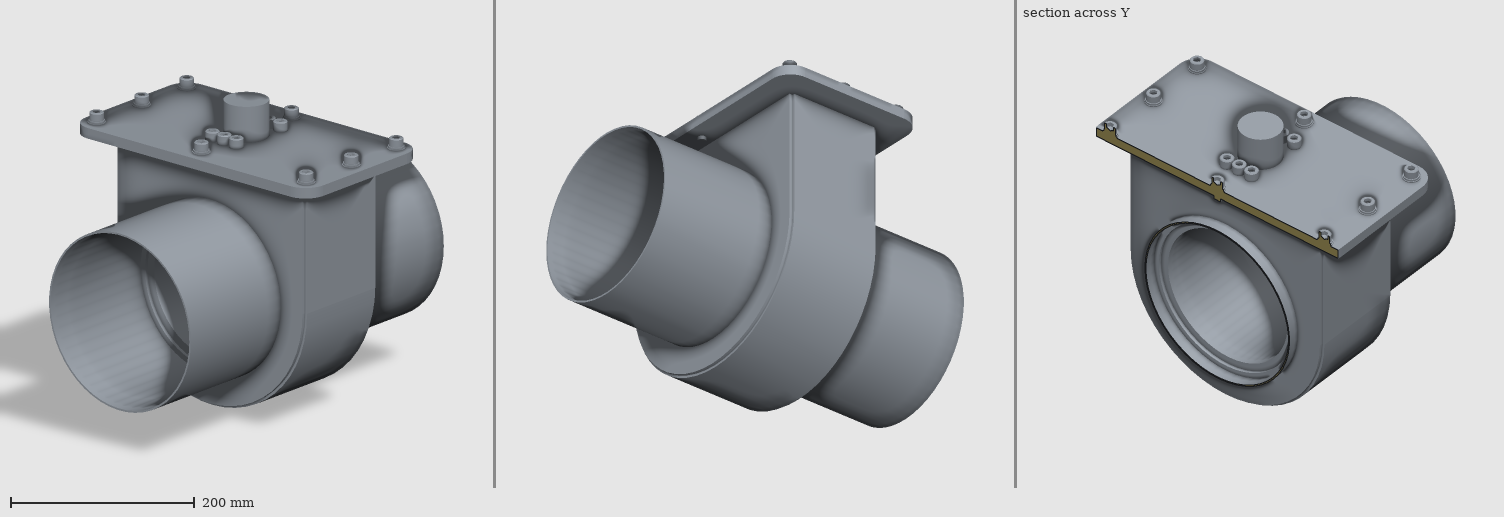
import cadquery as cq
import math

pipe_length = 420.0
pipe_outer_diameter = 204.0
pipe_inner_diameter = 200.0
seat_diameter = 187.0
bore_diameter = 168.0

casing_width = 121.0
side_plate_thickness = 4.0
rim_width = casing_width - 2 * side_plate_thickness
rim_radius = 136.0
rim_overhang = 3.0
side_plate_radius = rim_radius - rim_overhang

cover_length = 342.0
cover_width = 190.0
cover_thickness = 12.0
cover_corner_radius = 25.0
cover_bottom = 147.5
cover_top = cover_bottom + cover_thickness
shaft_diameter = 50.0
overall_height = 337.3
shaft_top = overall_height - rim_radius

head_diameter = 16.0
head_edge_chamfer = 1.0
socket_across_flats = 8.0
socket_depth = 5.0
socket_cone_depth = 2.0
thread_diameter = 10.0
thread_end_length = 4.0

plain_washer_diameter = 20.0
spring_washer_diameter = 18.0
plain_washer_thickness = 1.3
spring_washer_thickness = 2.0
cover_screw_height = 12.5
cover_screw_x = 150.8
cover_screw_y = 74.8

gland_washer_diameter = 15.0
gland_washer_thickness = 1.3
gland_screw_height = 11.5
gland_pitch = 17.2
gland_row_y = 36.5


def cylinder_along_y(diameter, length):
    """Cylinder about the pipe axis, centred on the origin."""
    return cq.Workplane("XZ").circle(diameter / 2).extrude(length / 2, both=True)


def end_recesses(diameter, gap):
    """Pair of coaxial cylinders running from both pipe ends inward, leaving the gap between them."""
    return cylinder_along_y(diameter, pipe_length).cut(cylinder_along_y(diameter, gap))


def casing_slab(radius, width):
    """Slab with a half-round bottom that reaches up to the cover plate."""
    return (
        cq.Workplane("XZ")
        .moveTo(-radius, cover_bottom)
        .lineTo(-radius, 0)
        .threePointArc((0, -radius), (radius, 0))
        .lineTo(radius, cover_bottom)
        .close()
        .extrude(width / 2, both=True)
    )


def upright_cylinder(diameter, bottom, height, x=0, y=0):
    return cq.Workplane("XY", origin=(x, y, bottom)).circle(diameter / 2).extrude(height)


def socket_head(x, y, bottom, top):
    """Screw head with a chamfered rim and a hexagonal socket with a conical floor."""
    across_corners = socket_across_flats / math.cos(math.pi / 6)
    head = upright_cylinder(head_diameter, bottom, top - bottom, x, y)
    head = head.faces(">Z").chamfer(head_edge_chamfer)
    hexagon = (
        cq.Workplane("XY", origin=(x, y, top))
        .polygon(6, across_corners)
        .extrude(-socket_depth)
    )
    cone = cq.Workplane(
        cq.Solid.makeCone(
            socket_across_flats / 2,
            0,
            socket_cone_depth,
            pnt=cq.Vector(x, y, top - socket_depth),
            dir=cq.Vector(0, 0, -1),
        )
    )
    return head.cut(hexagon).cut(cone)


def cover_screw(x, y):
    """Screw head with its two washers, standing on the cover plate."""
    spring_bottom = cover_top + plain_washer_thickness
    head_bottom = spring_bottom + spring_washer_thickness
    plain_washer = upright_cylinder(plain_washer_diameter, cover_top, plain_washer_thickness, x, y)
    spring_washer = upright_cylinder(spring_washer_diameter, spring_bottom, spring_washer_thickness, x, y)
    head = socket_head(x, y, head_bottom, cover_top + cover_screw_height)
    return plain_washer.union(spring_washer).union(head)


def gland_screw(x, y):
    """Screw head on its small washer, standing on the cover plate."""
    head_bottom = cover_top + gland_washer_thickness
    washer = upright_cylinder(gland_washer_diameter, cover_top, gland_washer_thickness, x, y)
    head = socket_head(x, y, head_bottom, cover_top + gland_screw_height)
    return washer.union(head)


body = casing_slab(rim_radius, rim_width)
body = body.union(casing_slab(side_plate_radius, casing_width))
body = body.union(cylinder_along_y(pipe_outer_diameter, pipe_length))
body = body.cut(cylinder_along_y(bore_diameter, pipe_length))
body = body.cut(end_recesses(seat_diameter, rim_width))
body = body.cut(end_recesses(pipe_inner_diameter, casing_width))

cover = (
    cq.Workplane("XY", origin=(0, 0, cover_bottom))
    .rect(cover_length, cover_width)
    .extrude(cover_thickness)
    .edges("|Z")
    .fillet(cover_corner_radius)
)
body = body.union(cover)
body = body.union(upright_cylinder(shaft_diameter, cover_top, shaft_top - cover_top))

for column in (-1, 0, 1):
    for row in (-1, 0, 1):
        if (column, row) != (0, 0):
            body = body.union(cover_screw(column * cover_screw_x, row * cover_screw_y))

for column in (-1, 0, 1):
    for side in (-1, 1):
        body = body.union(gland_screw(column * gland_pitch, side * gland_row_y))

thread_end = upright_cylinder(
    thread_diameter, cover_bottom - thread_end_length, thread_end_length, 0, cover_screw_y
)
result = body.union(thread_end)